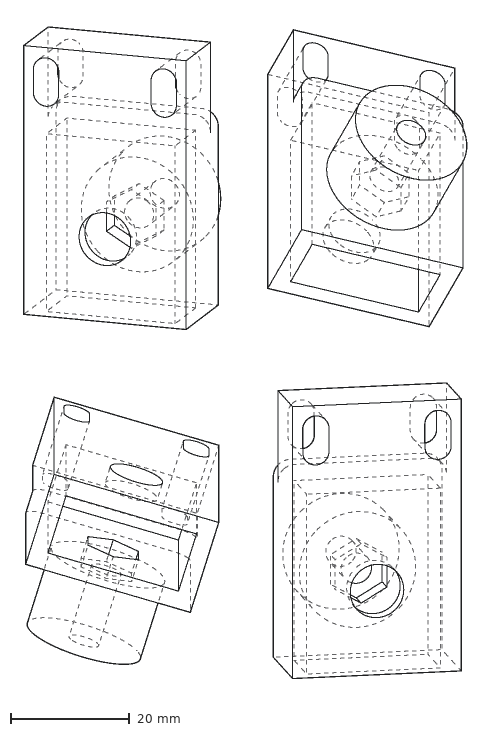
import cadquery as cq
import math

width = 29.0
height = 47.0
total_depth = 30.5
plate_depth = 12.5
body_depth = 16.5
body_height = 34.08
body_corner_radius = 2.9
wall = 3.0

axis_height = width / 2
barrel_diameter = 20.0
access_diameter = 9.2
bore_diameter = 5.2
nut_across_flats = 8.9
nut_pocket_depth = 4.0

slot_width = 4.5
slot_length = 8.45
slot_spacing = 21.0
slot_drop = 6.0


def box(x_size, z_size, y_start, y_end):
    """Box centred on X, standing on the base plane."""
    return cq.Workplane("XY").box(
        x_size, y_end - y_start, z_size, centered=(True, False, False)
    ).translate((0, y_start, 0))


def section_plane(y, z):
    """Workplane facing -Y, with its origin on the middle plane."""
    return cq.Workplane(cq.Plane(origin=(0, y, z), xDir=(1, 0, 0), normal=(0, -1, 0)))


def cylinder(diameter, y_start, y_end):
    """Cylinder on the barrel axis."""
    return section_plane(y_start, axis_height).circle(diameter / 2).extrude(y_start - y_end)


plate = box(width, height, 0, plate_depth)
rear_body = (
    box(width, body_height, plate_depth, body_depth)
    .edges("|Y and >Z")
    .fillet(body_corner_radius)
)
barrel = cylinder(barrel_diameter, body_depth, total_depth)
housing = plate.union(rear_body).union(barrel)

cavity = box(width - 2 * wall, body_height - wall, wall, body_depth - wall)
housing = housing.cut(cavity)

housing = housing.cut(cylinder(access_diameter, 0, wall))
housing = housing.cut(cylinder(bore_diameter, body_depth - wall, total_depth))

nut_across_corners = nut_across_flats / math.cos(math.pi / 6)
nut_pocket = (
    section_plane(body_depth - wall, axis_height)
    .transformed(rotate=(0, 0, 30))
    .polygon(6, nut_across_corners)
    .extrude(-nut_pocket_depth)
)
housing = housing.cut(nut_pocket)

slots = (
    section_plane(0, height - slot_drop)
    .pushPoints([(-slot_spacing / 2, 0), (slot_spacing / 2, 0)])
    .slot2D(slot_length, slot_width, 90)
    .extrude(-plate_depth)
)
result = housing.cut(slots)